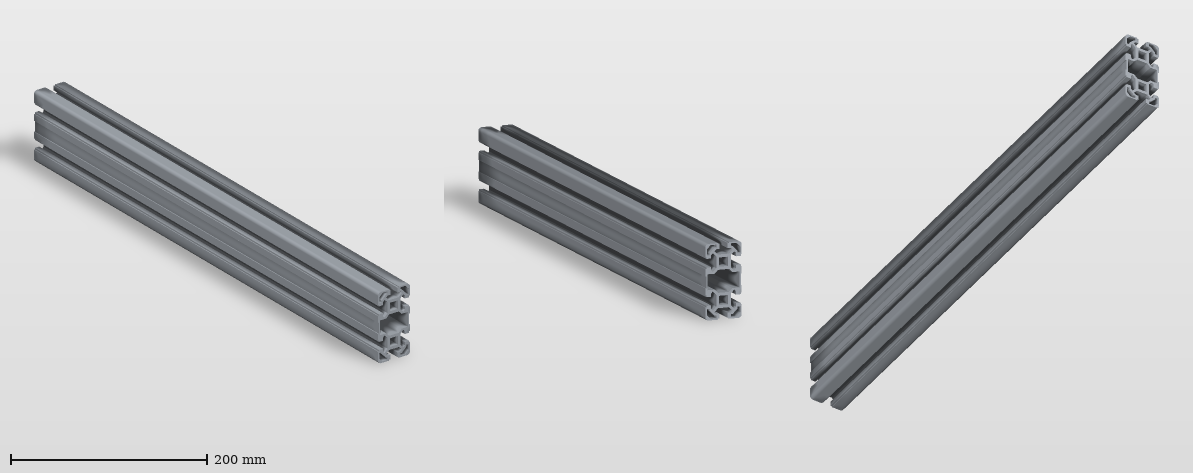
import cadquery as cq
import math

length = 600.0
module = 40.0
half = module / 2
width = module
height = 2 * module
corner_radius = 3.5

slot_half = 4.5
step_half = 6.2
step_depth = 1.0
lip_inner = 13.7
lip_flat_half = 8.0
core_half = 8.0
core_hole = 9.6
rib_thickness = 2.7
rib_offset = rib_thickness / math.sqrt(2)

hollow_outer = 18.5
hollow_inner = 15.5
hollow_end = 8.0
hollow_outer_chamfer = 4.2
hollow_inner_chamfer = 5.5

chamber_half_width = 17.5
chamber_half_height = 8.3


def prism(outline):
    """Extrude a Y-Z outline over the full length, centred on the origin."""
    return outline.extrude(length / 2, both=True)


def section():
    """Empty Y-Z sketch plane at the middle of the length."""
    return cq.Workplane("YZ")


def t_slot(angle, module_z):
    """T-slot opening toward +Z of its module, turned about the module centre."""
    undercut_half = (lip_flat_half + lip_inner - rib_offset) / 2
    half_outline = [
        (step_half, half),
        (step_half, half - step_depth),
        (slot_half, half - step_depth),
        (slot_half, lip_inner),
        (lip_flat_half, lip_inner),
        (undercut_half, undercut_half + rib_offset),
        (core_half - rib_offset, core_half),
    ]
    mirrored = [(-y, z) for y, z in reversed(half_outline)]
    outline = section().polyline(half_outline + mirrored).close()
    slot = prism(outline).rotate((0, 0, 0), (1, 0, 0), angle)
    return slot.translate((0, 0, module_z))


def corner_hollow():
    """L-shaped hollow in the +Y +Z corner of the upper module."""
    side = [
        (hollow_end, hollow_inner),
        (hollow_end, hollow_outer),
        (hollow_outer - hollow_outer_chamfer, hollow_outer),
    ]
    inner = (hollow_inner - hollow_inner_chamfer, hollow_inner)
    mirrored_side = [(z, y) for y, z in reversed(side)]
    points = [inner] + side + mirrored_side + [inner[::-1]]
    hollow = prism(section().polyline(points).close())
    return hollow.translate((0, 0, module / 2))


def centre_chamber():
    """Closed chamber between the two cores, bounded by the diagonal ribs."""
    core_face = half - core_half
    rib_foot_y = core_half - rib_offset
    rib_top_y = half - chamber_half_height - rib_offset
    quarter = [
        (rib_foot_y, core_face),
        (rib_top_y, chamber_half_height),
        (chamber_half_width, chamber_half_height),
    ]
    right = quarter + [(y, -z) for y, z in reversed(quarter)]
    points = right + [(-y, -z) for y, z in right]
    return prism(section().polyline(points).close())


profile = prism(section().rect(width, height)).edges("|X").fillet(corner_radius)

for sign in (1, -1):
    module_z = sign * module / 2
    outward_angle = 0 if sign > 0 else 180
    for angle in (outward_angle, 90, -90):
        profile = profile.cut(t_slot(angle, module_z))
    profile = profile.cut(prism(section().center(0, module_z).rect(core_hole, core_hole)))

hollow = corner_hollow()
lower_hollow = hollow.mirror("XY")
for corner in (hollow, lower_hollow):
    profile = profile.cut(corner).cut(corner.mirror("XZ"))

profile = profile.cut(centre_chamber())

for side in (1, -1):
    recess = section().center(side * half, 0).rect(2 * step_depth, 2 * step_half)
    profile = profile.cut(prism(recess))

result = profile